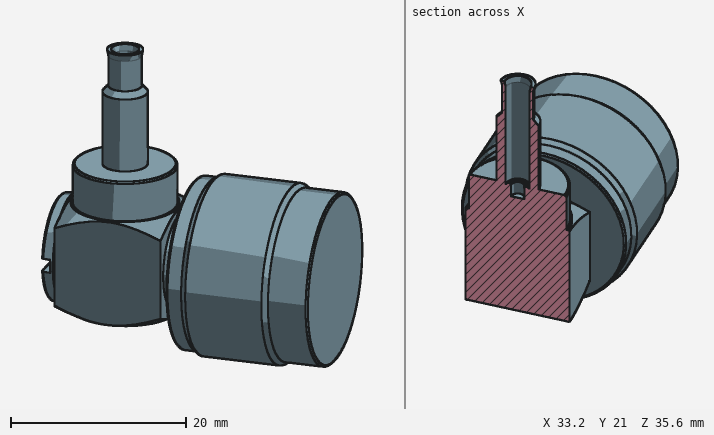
import cadquery as cq
import math


BODY_SIZE = 12.75
BODY_HALF = BODY_SIZE / 2
TURNED_RADIUS = 6.23
TURNED_ANGLE = 30.0

CAP_FACE_X = -7.97
CAP_BASE_RADIUS = BODY_HALF
CAP_RIM_RADIUS = 6.25
CAP_CHAMFER = 0.2
CAP_GROOVE_WIDTH = 0.2
CAP_GROOVE_RADIUS = 6.15
SLOT_WIDTH = 1.55
SLOT_DEPTH = 1.05

NECK_RADIUS = 5.4
NUT_START_X = 8.22
NUT_LENGTH = 17.0
NUT_END_X = NUT_START_X + NUT_LENGTH
NUT_END_RADIUS = 10.05
NUT_BAND_RADIUS = 10.5
NUT_EDGE_CHAMFER = 0.2
BAND_START_X = 10.07
BAND_END_X = 20.5
BAND_SLOPE_LENGTH = 0.65

COLLAR_RADIUS = 5.98
COLLAR_TOP_Z = 11.15
COLLAR_CHAMFER = 0.2
STEM_RADIUS = 2.6
STEM_SHOULDER_Z = 19.95
STEM_SHOULDER_HEIGHT = 0.75
STEM_NECK_RADIUS = 1.92
STEM_TOP_Z = 25.1
FLARE_HEIGHT = 0.75
FLARE_RADIUS = 2.05

BORE_RADIUS = 1.42
BORE_MOUTH_RADIUS = 1.6
BORE_BOTTOM_Z = COLLAR_TOP_Z
INSULATOR_CHAMFER = 0.2
CONTACT_HOLE_RADIUS = 0.8
CONTACT_HOLE_DEPTH = 1.78
CONTACT_COUNTERSINK = 0.18


def turned_about_z(radius_height_points):
    """Solid of revolution about Z from (radius, z) points; the ends close on the axis."""
    bottom_z = radius_height_points[0][1]
    top_z = radius_height_points[-1][1]
    outline = [(0, bottom_z)] + radius_height_points + [(0, top_z)]
    return cq.Workplane("XZ").polyline(outline).close().revolve(360, (0, 0), (0, 1))


def turned_about_x(x_radius_points):
    """Solid of revolution about X from (x, radius) points; the ends close on the axis."""
    start_x = x_radius_points[0][0]
    end_x = x_radius_points[-1][0]
    outline = [(start_x, 0)] + x_radius_points + [(end_x, 0)]
    return cq.Workplane("XZ").polyline(outline).close().revolve(360, (0, 0), (1, 0))


def make_body():
    cube = cq.Workplane("XY").box(BODY_SIZE, BODY_SIZE, BODY_SIZE)
    outer_radius = BODY_SIZE
    cone_height = (outer_radius - TURNED_RADIUS) * math.tan(math.radians(TURNED_ANGLE))
    envelope = turned_about_z([
        (TURNED_RADIUS, -BODY_HALF),
        (outer_radius, -BODY_HALF + cone_height),
        (outer_radius, BODY_HALF - cone_height),
        (TURNED_RADIUS, BODY_HALF),
    ])
    return cube.intersect(envelope)


def make_cap():
    groove_x = -BODY_HALF - CAP_GROOVE_WIDTH
    cap = turned_about_x([
        (CAP_FACE_X, CAP_RIM_RADIUS - CAP_CHAMFER),
        (CAP_FACE_X + CAP_CHAMFER, CAP_RIM_RADIUS),
        (groove_x, CAP_BASE_RADIUS),
        (groove_x, CAP_GROOVE_RADIUS),
        (-BODY_HALF, CAP_GROOVE_RADIUS),
    ])
    slot = cq.Workplane("XY").box(2 * SLOT_DEPTH, 2 * BODY_SIZE, SLOT_WIDTH)
    return cap.cut(slot.translate((CAP_FACE_X, 0, 0)))


def make_coupling_nut():
    return turned_about_x([
        (BODY_HALF, NECK_RADIUS),
        (NUT_START_X, NECK_RADIUS),
        (NUT_START_X, NUT_END_RADIUS - NUT_EDGE_CHAMFER),
        (NUT_START_X + NUT_EDGE_CHAMFER, NUT_END_RADIUS),
        (BAND_START_X, NUT_END_RADIUS),
        (BAND_START_X + BAND_SLOPE_LENGTH, NUT_BAND_RADIUS),
        (BAND_END_X - BAND_SLOPE_LENGTH, NUT_BAND_RADIUS),
        (BAND_END_X, NUT_END_RADIUS),
        (NUT_END_X - NUT_EDGE_CHAMFER, NUT_END_RADIUS),
        (NUT_END_X, NUT_END_RADIUS - NUT_EDGE_CHAMFER),
    ])


def make_cable_stem():
    return turned_about_z([
        (COLLAR_RADIUS, BODY_HALF),
        (COLLAR_RADIUS, COLLAR_TOP_Z - COLLAR_CHAMFER),
        (COLLAR_RADIUS - COLLAR_CHAMFER, COLLAR_TOP_Z),
        (STEM_RADIUS, COLLAR_TOP_Z),
        (STEM_RADIUS, STEM_SHOULDER_Z),
        (STEM_NECK_RADIUS, STEM_SHOULDER_Z + STEM_SHOULDER_HEIGHT),
        (STEM_NECK_RADIUS, STEM_TOP_Z - FLARE_HEIGHT),
        (FLARE_RADIUS, STEM_TOP_Z),
    ])


def make_stem_bore():
    return turned_about_z([
        (CONTACT_HOLE_RADIUS, BORE_BOTTOM_Z - CONTACT_HOLE_DEPTH),
        (CONTACT_HOLE_RADIUS, BORE_BOTTOM_Z - CONTACT_COUNTERSINK),
        (CONTACT_HOLE_RADIUS + CONTACT_COUNTERSINK, BORE_BOTTOM_Z),
        (BORE_RADIUS - INSULATOR_CHAMFER, BORE_BOTTOM_Z),
        (BORE_RADIUS, BORE_BOTTOM_Z - INSULATOR_CHAMFER),
        (BORE_RADIUS, STEM_TOP_Z - FLARE_HEIGHT),
        (BORE_MOUTH_RADIUS, STEM_TOP_Z),
    ])


result = (
    make_body()
    .union(make_cap())
    .union(make_coupling_nut())
    .union(make_cable_stem())
    .cut(make_stem_bore())
)